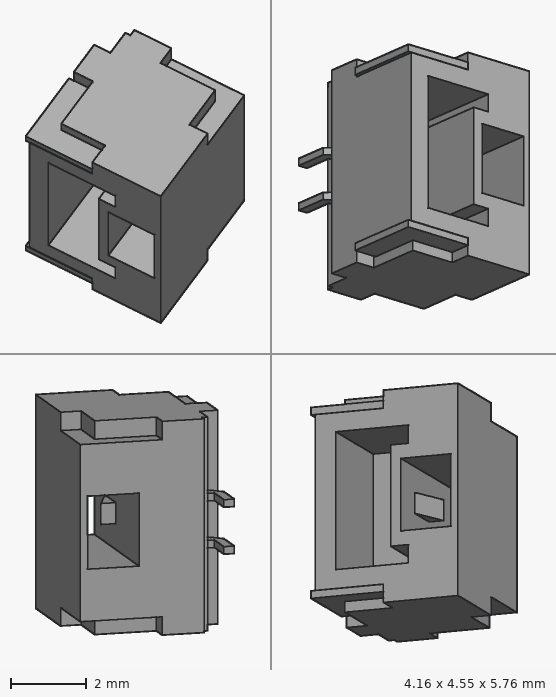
import cadquery as cq

BODY_WIDTH = 4.05
BODY_DEPTH = 4.24
BODY_HEIGHT = 5.76

SHOULDER_X = 0.5
SHOULDER_Y = 3.28
REAR_STEP_X = 0.655
REAR_STEP_Y = 4.04

RECESS_DEPTH = 0.495
FRONT_RECESS_LENGTH_X = 1.94
FRONT_RECESS_LENGTH_Y = 2.25
FRONT_RECESS_ARM_X = 0.59
FRONT_RECESS_ARM_Y = 0.645
REAR_RECESS_LENGTH_X = 2.25
REAR_RECESS_LENGTH_Y = 1.865
REAR_RECESS_ARM = 0.56

PLATE_THICKNESS = 0.205
PLATE_SIDE_OVERHANG = 0.11
PLATE_FRONT_OVERHANG = 0.015
PLATE_LENGTH_Y = 2.185

POCKET_LEFT = 0.585
POCKET_RIGHT = 2.64
POCKET_HEIGHT = 3.74
POCKET_REAR_WALL = POCKET_LEFT
POCKET_DEPTH = SHOULDER_Y - POCKET_REAR_WALL
TONGUE_LEFT = 2.14
TONGUE_HEIGHT = 2.745

WINDOW_LEFT = 2.435
WINDOW_RIGHT = 3.85
WINDOW_HEIGHT = 1.965

LATCH_RISE = 0.41
LATCH_LENGTH = 1.04
LATCH_HEIGHT = 0.565
LATCH_START_Y = 1.0

PIN_SPACING = 1.265
PIN_HEIGHT = 0.205
PIN_THICKNESS = 0.29
PIN_LEFT = -0.095
PIN_END_Y = 4.535
PIN_FOOT_TOP_Y = 3.64
PIN_BEVEL_X = 0.29
PIN_BEVEL_Y = 0.24


def prism(points, height, z_middle=0):
    """Extrude an XY outline along Z, centred on z_middle."""
    outline = cq.Workplane("XY").polyline(points).close()
    return outline.extrude(height / 2, both=True).translate((0, 0, z_middle))


def block(x_min, x_max, y_min, y_max, height):
    """Rectangular block centred on Z = 0."""
    corners = [(x_min, y_min), (x_max, y_min), (x_max, y_max), (x_min, y_max)]
    return prism(corners, height)


def corner_l(corner, length_x, length_y, arm_x, arm_y):
    """L outline from an outer corner; signed lengths point along each leg."""
    x, y = corner
    return [
        (x, y),
        (x + length_x, y),
        (x + length_x, y + arm_y),
        (x + arm_x, y + arm_y),
        (x + arm_x, y + length_y),
        (x, y + length_y),
    ]


def make_housing():
    return prism(
        [
            (0, 0),
            (BODY_WIDTH, 0),
            (BODY_WIDTH, BODY_DEPTH),
            (REAR_STEP_X, BODY_DEPTH),
            (REAR_STEP_X, REAR_STEP_Y),
            (SHOULDER_X, REAR_STEP_Y),
            (SHOULDER_X, SHOULDER_Y),
            (0, SHOULDER_Y),
        ],
        BODY_HEIGHT,
    )


def cut_recesses(body, side):
    """Cut both corner recesses into the top (side 1) or bottom (side -1) face."""
    z_middle = side * (BODY_HEIGHT - RECESS_DEPTH) / 2
    front = corner_l(
        (0, 0), FRONT_RECESS_LENGTH_X, FRONT_RECESS_LENGTH_Y, FRONT_RECESS_ARM_X, FRONT_RECESS_ARM_Y
    )
    rear = corner_l(
        (BODY_WIDTH, BODY_DEPTH),
        -REAR_RECESS_LENGTH_X,
        -REAR_RECESS_LENGTH_Y,
        -REAR_RECESS_ARM,
        -REAR_RECESS_ARM,
    )
    for outline in (front, rear):
        body = body.cut(prism(outline, RECESS_DEPTH, z_middle))
    return body


def make_plate(side):
    """Solder plate filling the front recess floor and overhanging two faces."""
    outline = corner_l(
        (-PLATE_SIDE_OVERHANG, -PLATE_FRONT_OVERHANG),
        FRONT_RECESS_LENGTH_X + PLATE_SIDE_OVERHANG,
        PLATE_LENGTH_Y + PLATE_FRONT_OVERHANG,
        FRONT_RECESS_ARM_X + PLATE_SIDE_OVERHANG,
        FRONT_RECESS_ARM_Y + PLATE_FRONT_OVERHANG,
    )
    recess_floor = BODY_HEIGHT / 2 - RECESS_DEPTH
    return prism(outline, PLATE_THICKNESS, side * (recess_floor + PLATE_THICKNESS / 2))


def make_pocket():
    pocket = block(POCKET_LEFT, POCKET_RIGHT, 0, POCKET_DEPTH, POCKET_HEIGHT)
    tongue = block(TONGUE_LEFT, POCKET_RIGHT, 0, POCKET_DEPTH, TONGUE_HEIGHT)
    return pocket.cut(tongue)


def make_latch():
    """Wedge that rises toward the rear and ends in a square catch."""
    catch_y = LATCH_START_Y + LATCH_LENGTH
    return prism(
        [
            (WINDOW_LEFT, LATCH_START_Y),
            (WINDOW_LEFT + LATCH_RISE, catch_y),
            (WINDOW_LEFT, catch_y),
        ],
        LATCH_HEIGHT,
    )


def make_pin(z_middle):
    pin_right = PIN_LEFT + PIN_THICKNESS
    return prism(
        [
            (PIN_LEFT + PIN_BEVEL_X, SHOULDER_Y),
            (SHOULDER_X, SHOULDER_Y),
            (SHOULDER_X, PIN_FOOT_TOP_Y),
            (pin_right, PIN_FOOT_TOP_Y),
            (pin_right, PIN_END_Y),
            (PIN_LEFT, PIN_END_Y),
            (PIN_LEFT, SHOULDER_Y + PIN_BEVEL_Y),
        ],
        PIN_HEIGHT,
        z_middle,
    )


housing = make_housing()
housing = housing.cut(make_pocket())
housing = housing.cut(block(WINDOW_LEFT, WINDOW_RIGHT, 0, BODY_DEPTH, WINDOW_HEIGHT))
housing = housing.union(make_latch())

for side in (1, -1):
    housing = cut_recesses(housing, side)
    housing = housing.union(make_plate(side))
    housing = housing.union(make_pin(side * PIN_SPACING / 2))

result = housing